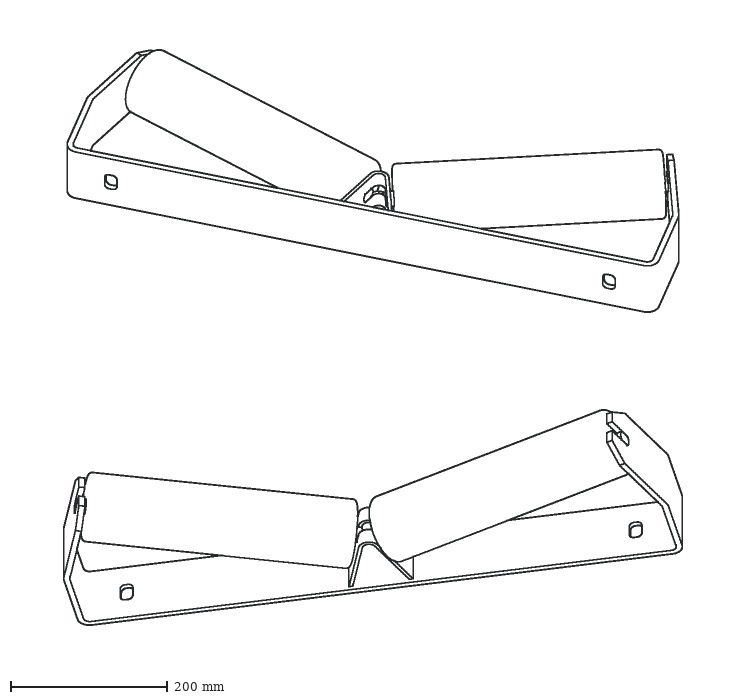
import cadquery as cq
import math

LEAN = 20.0
SIN_LEAN = math.sin(math.radians(LEAN))
COS_LEAN = math.cos(math.radians(LEAN))

FRAME_LENGTH = 790.0
FRAME_HEIGHT = 80.0
FRAME_THICKNESS = 8.0
FRAME_BEND = 16.0
UPPER_BEND_Y = 102.0
LEG_LENGTH = 133.5
TIP_CHAMFER_LONG = 31.0
TIP_CHAMFER_Z = 17.0

MOUNT_SPACING = 665.0
MOUNT_WIDTH = 16.5
MOUNT_HEIGHT = 24.0
MOUNT_CORNER = 6.0

BRACKET_HEIGHT = 55.0
BRACKET_THICKNESS = 5.0
BRACKET_BEND = 13.5
BRACKET_TOP_Y = 97.0

ROLLER_DIAMETER = 89.0
ROLLER_LENGTH = 347.0
ROLLER_FILLET = 5.5
ROLLER_GAP = 5.0
ROLLER_DIP = 1.1
SHAFT_DIAMETER = 20.0
SHAFT_FLATS = 14.0
FLATS_OVERRUN = 1.0
AXIS_BELOW_TIP = 31.0

HALF_LENGTH = FRAME_LENGTH / 2
UPPER_BEND_X = -HALF_LENGTH + FRAME_BEND
BRACKET_BEND_Y = BRACKET_TOP_Y - BRACKET_BEND


def across(x, y):
    """Distance of a point along the left roller axis, seen in plan."""
    return x * COS_LEAN - y * SIN_LEAN


LEG_FACE = across(UPPER_BEND_X, UPPER_BEND_Y) - FRAME_BEND
BRACKET_FACE = across(0, BRACKET_BEND_Y) - BRACKET_BEND
SHAFT_LENGTH = BRACKET_FACE + BRACKET_THICKNESS - LEG_FACE
BRACKET_CENTER_Z = -SHAFT_LENGTH * math.sin(math.radians(ROLLER_DIP))
AXIS_UP_LEG = LEG_LENGTH - AXIS_BELOW_TIP
SHAFT_START = (
    UPPER_BEND_X - FRAME_BEND * COS_LEAN + AXIS_UP_LEG * SIN_LEAN,
    UPPER_BEND_Y + FRAME_BEND * SIN_LEAN + AXIS_UP_LEG * COS_LEAN,
    0,
)


def place_on_left_axis(shape):
    """Move a shape built along +X from the origin onto the left shaft axis."""
    dipped = shape.rotate((0, 0, 0), (0, 1, 0), ROLLER_DIP)
    return dipped.rotate((0, 0, 0), (0, 0, 1), -LEAN).translate(SHAFT_START)


def with_mirror(shape):
    """The left shape and its mirror image on the right."""
    return [shape, shape.mirror("YZ")]


def x_cylinder(diameter, start, length):
    return cq.Workplane("YZ").workplane(offset=start).circle(diameter / 2).extrude(length)


def shaft_slots():
    """Slots open toward the leg tips, rounded to suit the shaft at the bottom."""
    half_flats = SHAFT_FLATS / 2
    flat_edge = math.sqrt((SHAFT_DIAMETER / 2) ** 2 - half_flats ** 2)
    open_end = 2 * AXIS_BELOW_TIP
    overrun = FRAME_THICKNESS
    slot = (
        cq.Workplane("YZ").workplane(offset=-overrun)
        .moveTo(open_end, half_flats)
        .lineTo(-flat_edge, half_flats)
        .threePointArc((-SHAFT_DIAMETER / 2, 0), (-flat_edge, -half_flats))
        .lineTo(open_end, -half_flats)
        .close()
        .extrude(SHAFT_LENGTH + 2 * overrun)
    )
    return with_mirror(place_on_left_axis(slot))


def frame_half_plan():
    """Left half of the bent bar, extruded along Z."""
    inner_bend = FRAME_BEND - FRAME_THICKNESS

    def bend_point(radius, center_y, degrees):
        angle = math.radians(degrees)
        return (UPPER_BEND_X - radius * math.cos(angle), center_y + radius * math.sin(angle))

    def tip(radius):
        x, y = bend_point(radius, UPPER_BEND_Y, LEAN)
        return (x + LEG_LENGTH * SIN_LEAN, y + LEG_LENGTH * COS_LEAN)

    return (
        cq.Workplane("XY").workplane(offset=-FRAME_HEIGHT / 2)
        .moveTo(0, 0)
        .lineTo(UPPER_BEND_X, 0)
        .threePointArc(bend_point(FRAME_BEND, FRAME_BEND, -45), (-HALF_LENGTH, FRAME_BEND))
        .lineTo(-HALF_LENGTH, UPPER_BEND_Y)
        .threePointArc(
            bend_point(FRAME_BEND, UPPER_BEND_Y, LEAN / 2),
            bend_point(FRAME_BEND, UPPER_BEND_Y, LEAN),
        )
        .lineTo(*tip(FRAME_BEND))
        .lineTo(*tip(inner_bend))
        .lineTo(*bend_point(inner_bend, UPPER_BEND_Y, LEAN))
        .threePointArc(
            bend_point(inner_bend, UPPER_BEND_Y, LEAN / 2),
            bend_point(inner_bend, UPPER_BEND_Y, 0),
        )
        .lineTo(*bend_point(inner_bend, FRAME_BEND, 0))
        .threePointArc(
            bend_point(inner_bend, FRAME_BEND, -45),
            bend_point(inner_bend, FRAME_BEND, -90),
        )
        .lineTo(0, FRAME_THICKNESS)
        .close()
        .extrude(FRAME_HEIGHT)
    )


def tip_chamfer_cut(side):
    """Wedge removed from one corner of the left leg tip; side is +1 above, -1 below."""
    corner_z = side * FRAME_HEIGHT / 2
    overrun = FRAME_THICKNESS
    wedge = (
        cq.Workplane("YZ").workplane(offset=-overrun)
        .moveTo(AXIS_BELOW_TIP, corner_z)
        .lineTo(AXIS_BELOW_TIP - TIP_CHAMFER_LONG, corner_z)
        .lineTo(AXIS_BELOW_TIP, corner_z - side * TIP_CHAMFER_Z)
        .close()
        .extrude(FRAME_THICKNESS + 2 * overrun)
    )
    return wedge.rotate((0, 0, 0), (0, 0, 1), -LEAN).translate(SHAFT_START)


def make_frame():
    half = frame_half_plan()
    for side in (1, -1):
        half = half.cut(tip_chamfer_cut(side))
    frame = half.union(half.mirror("YZ"))
    mounts = (
        cq.Workplane("XZ")
        .rarray(MOUNT_SPACING, 8, 2, 1)
        .rect(MOUNT_WIDTH, MOUNT_HEIGHT)
        .extrude(-FRAME_THICKNESS)
        .edges("|Y").fillet(MOUNT_CORNER)
    )
    frame = frame.cut(mounts)
    for slot in shaft_slots():
        frame = frame.cut(slot)
    return frame


def make_bracket():
    """Inverted V standing on the inner face of the frame base."""

    def bend_point(radius):
        return (radius * COS_LEAN, BRACKET_BEND_Y + radius * SIN_LEAN)

    def foot(radius):
        x, y = bend_point(radius)
        return (x + (y - FRAME_THICKNESS) * SIN_LEAN / COS_LEAN, FRAME_THICKNESS)

    def left(point):
        return (-point[0], point[1])

    outer = BRACKET_BEND
    inner = BRACKET_BEND - BRACKET_THICKNESS
    bracket = (
        cq.Workplane("XY").workplane(offset=BRACKET_CENTER_Z - BRACKET_HEIGHT / 2)
        .moveTo(*left(foot(outer)))
        .lineTo(*left(bend_point(outer)))
        .threePointArc((0, BRACKET_BEND_Y + outer), bend_point(outer))
        .lineTo(*foot(outer))
        .lineTo(*foot(inner))
        .lineTo(*bend_point(inner))
        .threePointArc((0, BRACKET_BEND_Y + inner), left(bend_point(inner)))
        .lineTo(*left(foot(inner)))
        .close()
        .extrude(BRACKET_HEIGHT)
    )
    for slot in shaft_slots():
        bracket = bracket.cut(slot)
    return bracket


def shaft_end(start, length):
    """Shaft end with two flats that fit the slots."""
    flats = cq.Workplane("XY").box(2 * SHAFT_LENGTH, SHAFT_DIAMETER, SHAFT_FLATS)
    return x_cylinder(SHAFT_DIAMETER, start, length).intersect(flats)


def make_rollers():
    """Left and right rollers, each one solid with its shaft."""
    drum = x_cylinder(ROLLER_DIAMETER, FRAME_THICKNESS + ROLLER_GAP, ROLLER_LENGTH)
    drum = drum.faces("<X or >X").edges().fillet(ROLLER_FILLET)
    outer_flats = FRAME_THICKNESS + FLATS_OVERRUN
    inner_flats = BRACKET_THICKNESS + FLATS_OVERRUN
    round_length = SHAFT_LENGTH - outer_flats - inner_flats
    roller = (
        drum
        .union(x_cylinder(SHAFT_DIAMETER, outer_flats, round_length))
        .union(shaft_end(0, outer_flats))
        .union(shaft_end(SHAFT_LENGTH - inner_flats, inner_flats))
    )
    return with_mirror(place_on_left_axis(roller))


frame = make_frame()
bracket = make_bracket()
rollers = make_rollers()

result = cq.Compound.makeCompound([
    frame.val(),
    bracket.val(),
    *[roller.val() for roller in rollers],
])